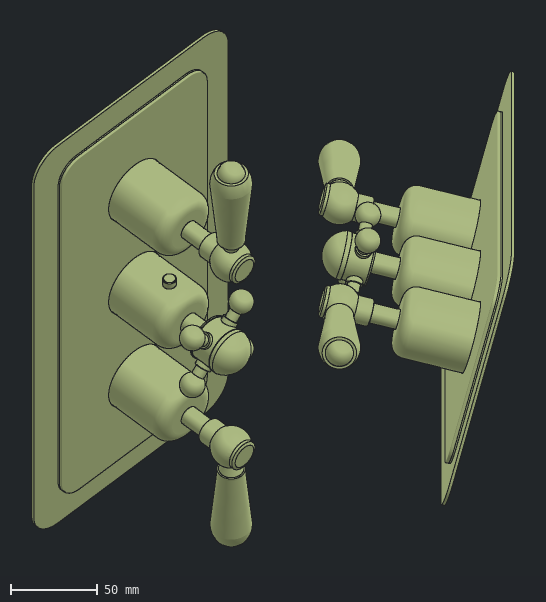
import cadquery as cq
import math

PLATE_WIDTH = 160.0
PLATE_HEIGHT = 325.0
PLATE_THICKNESS = 2.0
PLATE_CORNER_RADIUS = 20.0
SEAL_THICKNESS = 1.0
PANEL_INSET = 20.0
PANEL_WIDTH = PLATE_WIDTH - 2 * PANEL_INSET
PANEL_HEIGHT = PLATE_HEIGHT - 2 * PANEL_INSET
PANEL_THICKNESS = 2.0
PANEL_CORNER_RADIUS = 15.0
PANEL_EDGE_FILLET = 0.5

VALVE_SPACING = 80.0
SLEEVE_RADIUS = 21.25
SLEEVE_CLEARANCE = 0.25
SLEEVE_LENGTH = 49.0
SLEEVE_FILLET = 8.0
HEAD_START = 65.0

LEVER_SPINDLE_RADIUS = 6.0
COLLAR_RADIUS = 8.4
COLLAR_FILLET = 1.5
BALL_RADIUS = 12.5
BALL_CENTRE_X = 84.0
DISC_START = 92.0
DISC_END = 94.0
DISC_CROWN = 0.8
DISC_BEVEL = 2.0
DISC_RADIUS = math.sqrt(BALL_RADIUS**2 - (DISC_START - BALL_CENTRE_X) ** 2)

NECK_RADIUS = 4.4
NECK_TOP = 18.6
NECK_TOP_RADIUS = 7.4
GRIP_START_RADIUS = 8.4
GRIP_RING_END = 20.6
GRIP_WIDEST = 66.5
GRIP_RADIUS = 12.5
SHOULDER_TOP_RADIUS = 10.0
CAP_START = 75.4
CAP_RADIUS = 8.2
LEVER_TIP = 82.5
NECK_BASE = math.sqrt(BALL_RADIUS**2 - NECK_RADIUS**2)

CROSS_SPINDLE_RADIUS = 6.5
HUB_RADIUS = 14.0
RIM_RADIUS = 14.5
RIM_WIDTH = 1.0
HUB_END = 80.0
DOME_START = 83.0
DOME_TIP = 94.2
ARM_X = 72.2
ARM_RADIUS = 3.9
ARM_COLLAR_RADIUS = 5.0
ARM_COLLAR_END = 16.5
ARM_BALL_RADIUS = 7.5
ARM_BALL_DISTANCE = 28.5
ARM_COUNT = 4
FIRST_ARM_ANGLE = 45.0

BUTTON_X = 33.5
BUTTON_RADIUS = 4.0
BUTTON_TOP = 26.0
BUTTON_CHAMFER = 0.5


def rounded_sheet(width, height, thickness, corner_radius):
    """Upright rounded rectangle with its back on the YZ plane."""
    sheet = cq.Workplane("YZ").rect(width, height).extrude(thickness)
    return sheet.edges("|X").fillet(corner_radius)


def rod(radius, start, end):
    """Cylinder along X between two distances from the plate back."""
    return cq.Workplane("YZ").workplane(offset=start).circle(radius).extrude(end - start)


def pierce(sheet, thickness):
    """Cut the three valve clearance holes through a sheet."""
    for height in (-VALVE_SPACING, 0, VALVE_SPACING):
        hole = rod(SLEEVE_RADIUS + SLEEVE_CLEARANCE, 0, thickness)
        sheet = sheet.cut(hole.translate((0, 0, height)))
    return sheet


def make_plate():
    sheet = rounded_sheet(PLATE_WIDTH, PLATE_HEIGHT, PLATE_THICKNESS, PLATE_CORNER_RADIUS)
    return pierce(sheet, PLATE_THICKNESS)


def make_seal():
    sheet = rounded_sheet(PANEL_WIDTH, PANEL_HEIGHT, SEAL_THICKNESS, PANEL_CORNER_RADIUS)
    return pierce(sheet, SEAL_THICKNESS).translate((PLATE_THICKNESS, 0, 0))


def make_panel():
    sheet = rounded_sheet(PANEL_WIDTH, PANEL_HEIGHT, PANEL_THICKNESS, PANEL_CORNER_RADIUS)
    sheet = sheet.faces(">X").edges().fillet(PANEL_EDGE_FILLET)
    return pierce(sheet, PANEL_THICKNESS).translate((PLATE_THICKNESS + SEAL_THICKNESS, 0, 0))


def make_sleeve(spindle_radius):
    """Sleeve through the plate with the spindle that carries the head."""
    sleeve = rod(SLEEVE_RADIUS, 0, SLEEVE_LENGTH).faces(">X").edges().fillet(SLEEVE_FILLET)
    return sleeve.union(rod(spindle_radius, SLEEVE_LENGTH, HEAD_START))


def make_lever_body():
    """Lever arm revolved about Z through the ball centre, from ball to tip."""
    cap_sphere = ((LEVER_TIP - CAP_START) ** 2 + CAP_RADIUS**2) / (2 * (LEVER_TIP - CAP_START))
    cap_half_angle = math.asin(CAP_RADIUS / cap_sphere) / 2
    cap_middle = (
        cap_sphere * math.sin(cap_half_angle),
        LEVER_TIP - cap_sphere * (1 - math.cos(cap_half_angle)),
    )
    shoulder_height = CAP_START - GRIP_WIDEST
    shoulder_step = GRIP_RADIUS - SHOULDER_TOP_RADIUS
    shoulder_arc = (shoulder_height**2 + shoulder_step**2) / (2 * shoulder_step)
    shoulder_half_angle = math.asin(shoulder_height / shoulder_arc) / 2
    shoulder_middle = (
        GRIP_RADIUS - shoulder_arc * (1 - math.cos(shoulder_half_angle)),
        GRIP_WIDEST + shoulder_arc * math.sin(shoulder_half_angle),
    )
    return (
        cq.Workplane("XZ")
        .lineTo(NECK_RADIUS, 0)
        .lineTo(NECK_RADIUS, NECK_BASE)
        .lineTo(NECK_TOP_RADIUS, NECK_TOP)
        .lineTo(GRIP_START_RADIUS, NECK_TOP)
        .lineTo(GRIP_START_RADIUS, GRIP_RING_END)
        .lineTo(GRIP_RADIUS, GRIP_WIDEST)
        .threePointArc(shoulder_middle, (SHOULDER_TOP_RADIUS, CAP_START))
        .lineTo(CAP_RADIUS, CAP_START)
        .threePointArc(cap_middle, (0, LEVER_TIP))
        .close()
        .revolve(360, (0, 0), (0, 1))
        .translate((BALL_CENTRE_X, 0, 0))
    )


def make_lever_valve():
    """Valve on the X axis with its lever pointing up."""
    collar = rod(COLLAR_RADIUS, HEAD_START, BALL_CENTRE_X).faces("<X").edges().fillet(COLLAR_FILLET)
    ball = cq.Workplane("XY").sphere(BALL_RADIUS).translate((BALL_CENTRE_X, 0, 0))
    ball = ball.intersect(rod(BALL_RADIUS, HEAD_START, DISC_START))
    disc = (
        cq.Workplane("XY")
        .moveTo(DISC_START, 0)
        .lineTo(DISC_START, DISC_RADIUS)
        .lineTo(DISC_END, DISC_RADIUS)
        .lineTo(DISC_END + DISC_CROWN, DISC_RADIUS - DISC_BEVEL)
        .lineTo(DISC_END + DISC_CROWN, 0)
        .close()
        .revolve(360, (0, 0), (1, 0))
    )
    valve = make_sleeve(LEVER_SPINDLE_RADIUS).union(collar).union(ball)
    return valve.union(disc).union(make_lever_body())


def make_button():
    button = cq.Workplane("XY").center(BUTTON_X, 0).circle(BUTTON_RADIUS).extrude(BUTTON_TOP)
    return button.faces(">Z").edges().chamfer(BUTTON_CHAMFER)


def make_arm():
    """One cross arm along Z, from the valve axis to its ball."""
    collar = cq.Workplane("XY").circle(ARM_COLLAR_RADIUS).extrude(ARM_COLLAR_END)
    stem = cq.Workplane("XY").circle(ARM_RADIUS).extrude(ARM_BALL_DISTANCE)
    ball = cq.Workplane("XY").sphere(ARM_BALL_RADIUS).translate((0, 0, ARM_BALL_DISTANCE))
    return collar.union(stem).union(ball).translate((ARM_X, 0, 0))


def make_hub():
    """Hub with a rim at each end and a domed cap, revolved about X."""
    dome_height = DOME_TIP - DOME_START
    dome_sphere = (dome_height**2 + RIM_RADIUS**2) / (2 * dome_height)
    dome_half_angle = math.asin(RIM_RADIUS / dome_sphere) / 2
    dome_middle = (
        DOME_TIP - dome_sphere * (1 - math.cos(dome_half_angle)),
        dome_sphere * math.sin(dome_half_angle),
    )
    return (
        cq.Workplane("XY")
        .moveTo(HEAD_START, 0)
        .lineTo(HEAD_START, RIM_RADIUS)
        .lineTo(HEAD_START + RIM_WIDTH, RIM_RADIUS)
        .lineTo(HEAD_START + RIM_WIDTH, HUB_RADIUS)
        .lineTo(HUB_END, HUB_RADIUS)
        .lineTo(HUB_END, RIM_RADIUS)
        .lineTo(DOME_START, RIM_RADIUS)
        .threePointArc(dome_middle, (DOME_TIP, 0))
        .close()
        .revolve(360, (0, 0), (1, 0))
    )


def make_cross_valve():
    valve = make_sleeve(CROSS_SPINDLE_RADIUS).union(make_button()).union(make_hub())
    for index in range(ARM_COUNT):
        angle = FIRST_ARM_ANGLE + index * 360 / ARM_COUNT
        valve = valve.union(make_arm().rotate((0, 0, 0), (1, 0, 0), angle))
    return valve


plate = make_plate()
seal = make_seal()
panel = make_panel()
cross_valve = make_cross_valve()
lever_valves = []
for flip_angle in (0, 180):
    lever_valve = make_lever_valve().translate((0, 0, VALVE_SPACING))
    lever_valves.append(lever_valve.rotate((0, 0, 0), (1, 0, 0), flip_angle))

bodies = [plate, seal, panel, cross_valve, *lever_valves]
result = cq.Compound.makeCompound([body.val() for body in bodies])